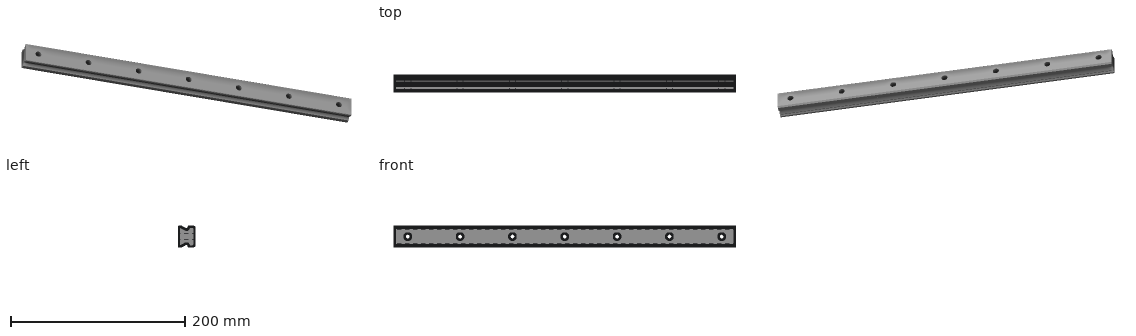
import cadquery as cq

length = 390.0
height = 18.0
width = 23.0

base_chamfer = 1.6
head_chamfer = 0.5

base_land_end = 6.25
floor_start = 8.25
floor_end = 9.65
track_depth = 3.5
shelf_start = 13.65
shelf_end = 14.2
shelf_depth = 1.2
head_land_start = 15.75

hole_diameter = 7.0
hole_count = 7
hole_pitch = 60.0


def upper_side_points():
    """(Y, Z) points of the upper half of the cross-section, from mounting face to head."""
    stations = [
        (0, base_chamfer),
        (base_chamfer, 0),
        (base_land_end, 0),
        (floor_start, track_depth),
        (floor_end, track_depth),
        (shelf_start, shelf_depth),
        (shelf_end, shelf_depth),
        (head_land_start, 0),
        (height - head_chamfer, 0),
        (height, head_chamfer),
    ]
    return [(position - height / 2, width / 2 - depth) for position, depth in stations]


def rail_body():
    """Grooved bar centred on the origin and symmetric about the XY plane."""
    upper = upper_side_points()
    lower = [(y, -z) for y, z in reversed(upper)]
    outline = cq.Workplane("YZ").polyline(upper + lower).close()
    return outline.extrude(length / 2, both=True)


def mounting_holes():
    """Row of plain through holes, centred on the length of the rail."""
    centres = cq.Workplane("XZ").rarray(hole_pitch, 1, hole_count, 1)
    return centres.circle(hole_diameter / 2).extrude(height, both=True)


result = rail_body().cut(mounting_holes())